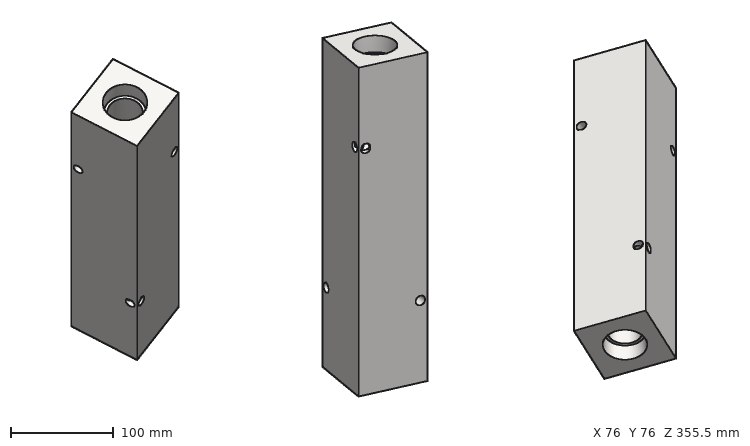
import cadquery as cq

side = 76.0
height = 355.5

bore_diameter = 35.0
counterbore_depth = 17.5
mouth_diameter = 43.5
seat_diameter = 41.2

cross_hole_diameter = 10.3
cross_hole_spacing = 60.0
cross_hole_offset = cross_hole_spacing / 2
upper_hole_height = 0.75 * height
lower_hole_height = height - upper_hole_height


def bore_cutter():
    """Revolved profile of the lower half of the bore, mirrored to the upper end."""
    bore_radius = bore_diameter / 2
    seat_radius = seat_diameter / 2
    middle = height / 2
    lower_half = (
        cq.Workplane("XZ")
        .moveTo(0, 0)
        .lineTo(mouth_diameter / 2, 0)
        .lineTo(seat_radius, counterbore_depth)
        .lineTo(bore_radius, counterbore_depth)
        .lineTo(bore_radius, middle)
        .lineTo(0, middle)
        .close()
        .revolve(360, (0, 0, 0), (0, 1, 0))
    )
    return lower_half.union(lower_half.mirror("XY", (0, 0, middle)))


def cross_hole_pair(x, y, z):
    """Two through holes at height z: one along Y at the given x, one along X at the given y."""
    radius = cross_hole_diameter / 2
    along_y = cq.Workplane("XZ").center(x, z).circle(radius).extrude(side / 2, both=True)
    along_x = cq.Workplane("YZ").center(y, z).circle(radius).extrude(side / 2, both=True)
    return along_y.union(along_x)


block = cq.Workplane("XY").box(side, side, height, centered=(True, True, False))
upper_holes = cross_hole_pair(-cross_hole_offset, cross_hole_offset, upper_hole_height)
lower_holes = cross_hole_pair(cross_hole_offset, -cross_hole_offset, lower_hole_height)

result = block.cut(bore_cutter()).cut(upper_holes).cut(lower_holes)